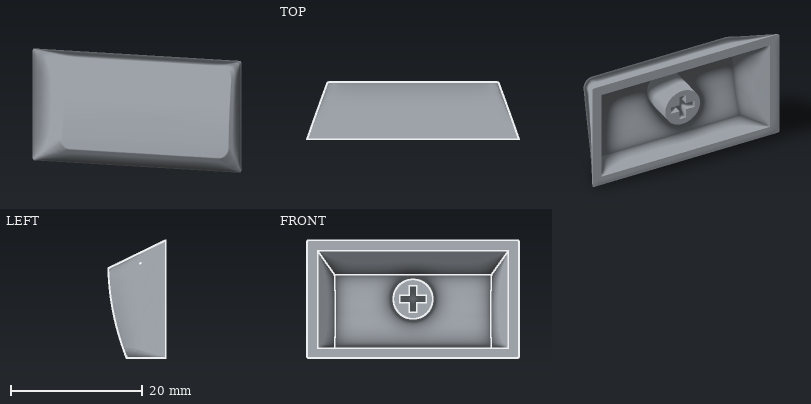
import cadquery as cq
import math

length = 32.3
height = 18.0

top_depth = 8.8
bottom_depth = 5.98
top_drop = 4.3
side_inset = 3.05
back_bulge = 0.6
rim_corner_radius = 0.32
back_corner_radius = 1.68
back_edge_fillet = 0.2
blend_steps = 6

rim_wall = 1.6
bottom_rim_wall = 1.5
cavity_top_depth = 7.4
cavity_bottom_depth = 4.9
cavity_top_drop = 3.65
cavity_side_inset = 2.6
cavity_bulge = 0.35

stem_diameter = 6.0
stem_recess = 1.03
cross_span = 4.05
cross_width = 1.1
cross_depth = 3.88

overshoot = 1.25

shell_outline = [
    (0, height / 2),
    (top_depth, height / 2 - top_drop),
    (bottom_depth, -height / 2),
    (0, -height / 2),
]
cavity_rim_top = height / 2 - rim_wall
cavity_rim_bottom = -height / 2 + bottom_rim_wall
cavity_outline = [
    (0, cavity_rim_top),
    (cavity_top_depth, cavity_rim_top - cavity_top_drop),
    (cavity_bottom_depth, cavity_rim_bottom),
    (0, cavity_rim_bottom),
]


def cross_section(outline, half_length, inset, fraction):
    """Rectangular wire part of the way from the rim (0) to the back chord (1)."""
    rim_top, back_top, back_bottom, rim_bottom = outline
    half_width = half_length - inset * fraction
    top_y = back_top[0] * fraction
    bottom_y = back_bottom[0] * fraction
    top_z = rim_top[1] + (back_top[1] - rim_top[1]) * fraction
    bottom_z = rim_bottom[1]
    corners = [
        cq.Vector(-half_width, bottom_y, bottom_z),
        cq.Vector(half_width, bottom_y, bottom_z),
        cq.Vector(half_width, top_y, top_z),
        cq.Vector(-half_width, top_y, top_z),
    ]
    return cq.Wire.makePolygon(corners, close=True)


def rounded_shell_section(fraction):
    """Shell section whose corner radius grows smoothly from rim to back."""
    wire = cross_section(shell_outline, length / 2, side_inset, fraction)
    blend = min(fraction, 1.0)
    smooth_blend = blend**2 * (3 - 2 * blend)
    radius = rim_corner_radius + (back_corner_radius - rim_corner_radius) * smooth_blend
    return wire.fillet2D(radius, wire.Vertices())


def side_prism(outline, bulge):
    """Side outline with an arched back, extruded across the full length."""
    rim_top, back_top, back_bottom, rim_bottom = outline
    chord_y = back_top[0] - back_bottom[0]
    chord_z = back_top[1] - back_bottom[1]
    chord = math.hypot(chord_y, chord_z)
    arc_middle = (
        (back_top[0] + back_bottom[0]) / 2 + bulge * chord_z / chord,
        (back_top[1] + back_bottom[1]) / 2 - bulge * chord_y / chord,
    )
    return (
        cq.Workplane("YZ")
        .moveTo(*rim_top)
        .lineTo(*back_top)
        .threePointArc(arc_middle, back_bottom)
        .lineTo(*rim_bottom)
        .close()
        .extrude(length / 2, both=True)
    )


def make_shell():
    sections = [rounded_shell_section(overshoot * i / blend_steps) for i in range(blend_steps + 1)]
    block = cq.Workplane(cq.Solid.makeLoft(sections))
    shell = block.intersect(side_prism(shell_outline, back_bulge))
    return shell.faces(">Y").edges().fillet(back_edge_fillet)


def make_cavity():
    half_length = length / 2 - rim_wall
    sections = [
        cross_section(cavity_outline, half_length, cavity_side_inset, fraction)
        for fraction in (0, overshoot)
    ]
    block = cq.Workplane(cq.Solid.makeLoft(sections, ruled=True))
    return block.intersect(side_prism(cavity_outline, cavity_bulge))


def stem_face():
    return cq.Workplane("XZ", origin=(0, stem_recess, 0))


def make_stem():
    """Round post running back until it merges with the arched wall."""
    post = stem_face().circle(stem_diameter / 2).extrude(stem_recess - top_depth)
    return post.intersect(side_prism(shell_outline, back_bulge))


def make_cross_socket():
    horizontal = stem_face().rect(cross_span, cross_width).extrude(-cross_depth)
    vertical = stem_face().rect(cross_width, cross_span).extrude(-cross_depth)
    return horizontal.union(vertical)


result = make_shell().cut(make_cavity()).union(make_stem()).cut(make_cross_socket())